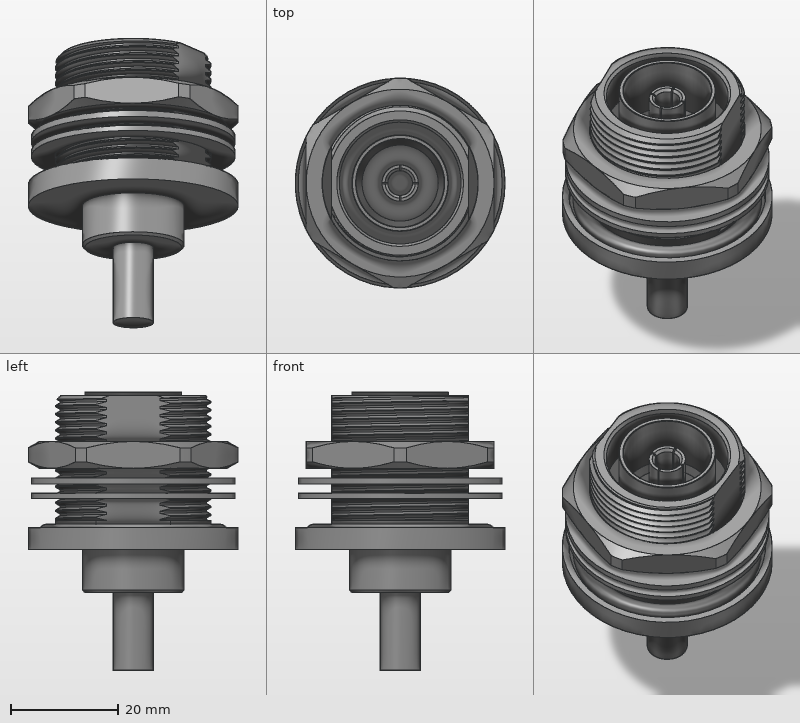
import cadquery as cq
import math


sleeve_radius = 3.75
collar_bottom = 14.5
collar_radius = 9.5
collar_chamfer = 0.5
flange_bottom = 22.5
flange_top = 26.6
flange_radius = 19.56

thread_radius = 14.5
thread_pitch = 1.5
thread_height = thread_pitch * math.sqrt(3) / 2
thread_depth = thread_height * 5 / 8
thread_bottom = 27.9
barrel_top = 51.25
barrel_chamfer = 1.05
barrel_flat_width = 25.5
root_radius = thread_radius - thread_depth
crest_width = thread_pitch / 8
flank_slope = math.tan(math.radians(30))
ridge_embed = 0.1
ridge_start_z = 26.48
ridge_start_angle = 30

overall_height = 51.9
cavity_radius = 11.35
cavity_floor = 43.5
cavity_lip_width = 0.45
cavity_lip_height = 0.65
tube_radius = 9.0
tube_bore_radius = 8.2
tube_floor_radius = 7.1
tube_floor = 39.9
tube_edge_chamfer = 0.1

oring_section_radius = 1.5
oring_center_radius = 16.1
oring_projection = 0.63
oring_center_z = flange_top + oring_projection - oring_section_radius
groove_floor = oring_center_z - oring_section_radius
groove_outer_radius = 18.3

washer_radius = 19.0
washer_clearance = 0.1
washer_hole_radius = thread_radius + washer_clearance
flat_washer_bottom = 32.0
flat_washer_thickness = 1.0
lock_washer_bottom = 34.7
lock_washer_thickness = 1.15

nut_across_flats = 35.0
nut_corner_radius = 19.56
nut_bottom = 37.65
nut_thickness = 5.0
nut_top = nut_bottom + nut_thickness
nut_chamfer_angle = math.radians(30)

contact_radius = 3.38
contact_top = 50.2
contact_bore_radius = 2.3
contact_bore_depth = 9.0
contact_chamfer = 0.5
slot_width = 0.3
slot_depth = 8.0


def disk(radius, bottom, top):
    return cq.Workplane("XY").workplane(offset=bottom).circle(radius).extrude(top - bottom)


def ring(outer_radius, inner_radius, bottom, top):
    return disk(outer_radius, bottom, top).cut(disk(inner_radius, bottom, top))


def revolve_profile(points):
    """Turn a closed (radius, z) outline about the Z axis."""
    return cq.Workplane("XZ").polyline(points).close().revolve(360, (0, 0, 0), (0, 1, 0))


def make_thread_ridge():
    """Sweep a flat-crested right-handed ridge, its foot sunk into the core, and trim its ends."""
    foot_radius = root_radius - ridge_embed
    crest_half = crest_width / 2
    foot_half = crest_half + (thread_radius - foot_radius) * flank_slope
    turns = math.ceil((barrel_top - ridge_start_z) / thread_pitch)
    helix = cq.Wire.makeHelix(thread_pitch, turns * thread_pitch, foot_radius)
    profile = cq.Workplane("XZ").polyline([
        (foot_radius, -foot_half),
        (thread_radius, -crest_half),
        (thread_radius, crest_half),
        (foot_radius, foot_half),
    ]).close()
    ridge = profile.sweep(cq.Workplane(obj=helix), isFrenet=True)
    ridge = ridge.rotate((0, 0, 0), (0, 0, 1), ridge_start_angle)
    ridge = ridge.translate((0, 0, ridge_start_z))
    envelope = disk(thread_radius + ridge_embed, thread_bottom, barrel_top)
    envelope = envelope.faces(">Z").chamfer(barrel_chamfer + ridge_embed)
    return ridge.intersect(envelope)


def make_barrel():
    """Threaded barrel on a plain shoulder, with two flats facing -X and +X."""
    core_chamfer = barrel_chamfer - thread_depth
    core = revolve_profile([
        (0, flange_top),
        (thread_radius, flange_top),
        (thread_radius, thread_bottom),
        (root_radius, thread_bottom),
        (root_radius, barrel_top - core_chamfer),
        (root_radius - core_chamfer, barrel_top),
        (0, barrel_top),
    ])
    between_flats = (
        cq.Workplane("XY")
        .workplane(offset=flange_top)
        .rect(barrel_flat_width, 2 * flange_radius)
        .extrude(barrel_top - flange_top)
    )
    return core.union(make_thread_ridge()).intersect(between_flats)


def make_cavity():
    """Annular space between barrel and inner tube, with a flared mouth."""
    mouth_radius = cavity_radius + cavity_lip_width
    bore = revolve_profile([
        (0, cavity_floor),
        (cavity_radius, cavity_floor),
        (cavity_radius, barrel_top - cavity_lip_height),
        (mouth_radius, barrel_top),
        (0, barrel_top),
    ])
    return bore.cut(disk(tube_radius, cavity_floor, barrel_top))


def make_tube_bore():
    """Straight bore of the inner tube, coned at the bottom and chamfered at the mouth."""
    return revolve_profile([
        (0, tube_floor),
        (tube_floor_radius, tube_floor),
        (tube_bore_radius, tube_floor + tube_bore_radius - tube_floor_radius),
        (tube_bore_radius, overall_height - tube_edge_chamfer),
        (tube_bore_radius + tube_edge_chamfer, overall_height),
        (0, overall_height),
    ])


def make_housing():
    sleeve = disk(sleeve_radius, 0, collar_bottom)
    collar = disk(collar_radius, collar_bottom, flange_bottom).faces("<Z").chamfer(collar_chamfer)
    flange = disk(flange_radius, flange_bottom, flange_top)
    flange = flange.cut(ring(groove_outer_radius, thread_radius, groove_floor, flange_top))
    tube = disk(tube_radius, cavity_floor, overall_height).faces(">Z").chamfer(tube_edge_chamfer)
    shell = make_barrel().cut(make_cavity())
    return shell.union(flange).union(collar).union(sleeve).union(tube).cut(make_tube_bore())


def make_oring():
    section = cq.Workplane("XZ").center(oring_center_radius, oring_center_z).circle(oring_section_radius)
    return section.revolve(360, (-oring_center_radius, 0, 0), (-oring_center_radius, 1, 0))


def make_washer(bottom, thickness):
    return ring(washer_radius, washer_hole_radius, bottom, bottom + thickness)


def make_nut():
    """Hexagon with both ends turned to a cone that cuts back the corners."""
    face_radius = nut_across_flats / 2
    corner_drop = (nut_corner_radius - face_radius) * math.tan(nut_chamfer_angle)
    hexagon = (
        cq.Workplane("XY")
        .workplane(offset=nut_bottom)
        .polygon(6, nut_across_flats, circumscribed=True)
        .extrude(nut_thickness)
    )
    turned_blank = revolve_profile([
        (0, nut_bottom),
        (face_radius, nut_bottom),
        (nut_corner_radius, nut_bottom + corner_drop),
        (nut_corner_radius, nut_top - corner_drop),
        (face_radius, nut_top),
        (0, nut_top),
    ])
    return hexagon.intersect(turned_blank).cut(disk(thread_radius, nut_bottom, nut_top))


def make_contact():
    contact = disk(contact_radius, tube_floor, contact_top)
    bore = revolve_profile([
        (0, contact_top - contact_bore_depth),
        (contact_bore_radius, contact_top - contact_bore_depth),
        (contact_bore_radius, contact_top - contact_chamfer),
        (contact_bore_radius + contact_chamfer, contact_top),
        (0, contact_top),
    ])
    contact = contact.cut(bore)
    slot = (
        cq.Workplane("XY")
        .workplane(offset=contact_top - slot_depth)
        .rect(2 * contact_radius, slot_width)
        .extrude(slot_depth)
    )
    for angle in (0, 90):
        contact = contact.cut(slot.rotate((0, 0, 0), (0, 0, 1), angle))
    return contact


housing = make_housing()
oring = make_oring()
flat_washer = make_washer(flat_washer_bottom, flat_washer_thickness)
lock_washer = make_washer(lock_washer_bottom, lock_washer_thickness)
nut = make_nut()
contact = make_contact()

result = cq.Compound.makeCompound([
    housing.val(),
    oring.val(),
    flat_washer.val(),
    lock_washer.val(),
    nut.val(),
    contact.val(),
])